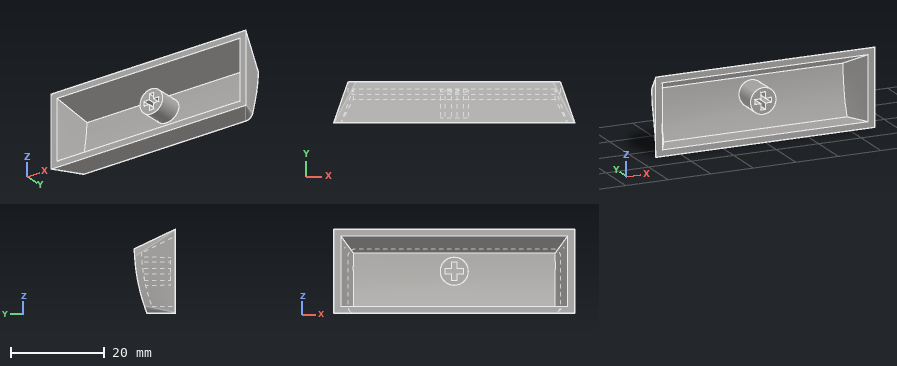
import cadquery as cq
import math


length = 51.6
height = 18.0
depth = 8.8
lower_depth = 6.1
touch_top = 4.8
touch_radius = 41.3
end_taper = 3.1
opening_corner = 0.15
upper_corner = 1.7
lower_corner = 2.6

wall = 1.5
end_wall = 1.6
floor_top = 3.85
cavity_taper = 2.65

stem_diameter = 6.0
stem_recess = 1.05
cross_span = 3.9
cross_width = 1.1

half_length = length / 2
half_height = height / 2

chord_y = depth - lower_depth
chord_z = touch_top + half_height
chord = math.hypot(chord_y, chord_z)
centre_offset = math.sqrt(touch_radius**2 - (chord / 2) ** 2)
centre_y = (depth + lower_depth) / 2 - centre_offset * chord_z / chord
centre_z = (touch_top - half_height) / 2 + centre_offset * chord_y / chord


def arc_depth(radius, z):
    """Depth at height z of a surface concentric with the touch face."""
    return centre_y + math.sqrt(radius**2 - (z - centre_z) ** 2)


def outline(y, z_low, z_high, end_x, low_radius, high_radius):
    """Rounded outline in the plane at y; end_x gives the half length at the bottom, middle and top."""
    x_low, x_middle, x_high = end_x
    z_middle = (z_low + z_high) / 2

    def end_edge(side):
        low = cq.Vector(side * x_low, y, z_low)
        middle = cq.Vector(side * x_middle, y, z_middle)
        high = cq.Vector(side * x_high, y, z_high)
        if x_low == x_high:
            return cq.Edge.makeLine(low, high)
        return cq.Edge.makeThreePointArc(low, middle, high)

    left = end_edge(-1)
    right = end_edge(1)
    top = cq.Edge.makeLine(left.endPoint(), right.endPoint())
    bottom = cq.Edge.makeLine(right.startPoint(), left.startPoint())
    wire = cq.Wire.assembleEdges([left, top, right, bottom])
    for radius, z in ((low_radius, z_low), (high_radius, z_high)):
        if radius > 0:
            corners = [vertex for vertex in wire.Vertices() if math.isclose(vertex.Z, z)]
            wire = wire.fillet2D(radius, corners)
    return wire


def tapered_block(half_x, half_z, back_top, back_radius, taper, front_corner=0, low_corner=0, high_corner=0):
    """Block from the opening to a curved back, whose ends lean inward by the taper where they meet it."""
    back_y = arc_depth(back_radius, back_top)
    back_middle = (back_top - half_z) / 2
    back_x = [half_x - taper * back_y / arc_depth(back_radius, z) for z in (-half_z, back_middle, back_top)]
    front = outline(0, -half_z, half_z, [half_x] * 3, front_corner, front_corner)
    back = outline(back_y, -half_z, back_top, back_x, low_corner, high_corner)
    block = cq.Workplane(cq.Solid.makeLoft([front, back], True))

    curved_envelope = (
        cq.Workplane("YZ")
        .moveTo(0, -half_height)
        .lineTo(arc_depth(back_radius, -half_height), -half_height)
        .threePointArc(
            (arc_depth(back_radius, 0), 0),
            (arc_depth(back_radius, half_height), half_height),
        )
        .lineTo(0, half_height)
        .close()
        .extrude(half_length, both=True)
    )
    return block.intersect(curved_envelope)


def stem_post():
    """Round post with a cross socket, running from its recessed face to the full depth."""
    post_length = depth - stem_recess
    face = cq.Workplane("XZ", origin=(0, stem_recess, 0))
    post = face.circle(stem_diameter / 2).extrude(-post_length)
    for size_x, size_z in ((cross_span, cross_width), (cross_width, cross_span)):
        post = post.cut(face.rect(size_x, size_z).extrude(-post_length))
    return post


body = tapered_block(
    half_length, half_height, touch_top, touch_radius, end_taper,
    opening_corner, lower_corner, upper_corner,
)
cavity = tapered_block(
    half_length - end_wall, half_height - wall, floor_top, touch_radius - wall, cavity_taper
)

result = body.cut(cavity.cut(stem_post()))